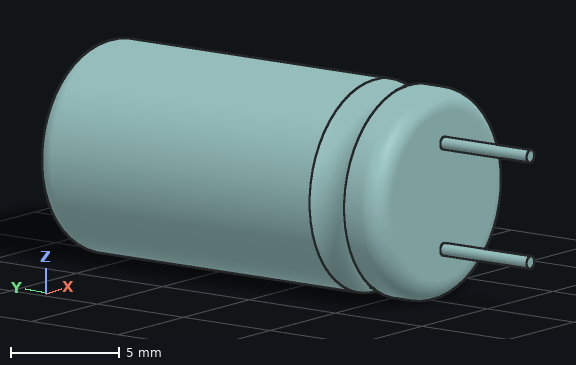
import cadquery as cq
import math

can_diameter = 10.0
can_length = 20.0
edge_radius = 1.0

groove_start = 2.0
groove_width = 2.0
groove_arc_radius = 2.0
groove_depth = groove_arc_radius - math.sqrt(groove_arc_radius**2 - (groove_width / 2) ** 2)

lead_diameter = 0.6
lead_length = 5.0
lead_pitch = 5.0


def make_can():
    """Solid cylinder with both end rims rounded."""
    can = cq.Workplane("XZ").circle(can_diameter / 2).extrude(-can_length)
    return can.edges().fillet(edge_radius)


def make_groove():
    """Ring with a circular-arc inner face, to be cut from the can."""
    can_radius = can_diameter / 2
    groove_end = groove_start + groove_width
    groove_middle = groove_start + groove_width / 2
    outer_radius = can_radius + groove_depth
    return (
        cq.Workplane("XY")
        .moveTo(can_radius, groove_start)
        .threePointArc((can_radius - groove_depth, groove_middle), (can_radius, groove_end))
        .lineTo(outer_radius, groove_end)
        .lineTo(outer_radius, groove_start)
        .close()
        .revolve(360, (0, 0, 0), (0, 1, 0))
    )


def make_leads():
    """Straight round pins standing out of the Y = 0 face."""
    return (
        cq.Workplane("XZ")
        .pushPoints([(0, -lead_pitch / 2), (0, lead_pitch / 2)])
        .circle(lead_diameter / 2)
        .extrude(lead_length)
    )


result = make_can().cut(make_groove()).union(make_leads())